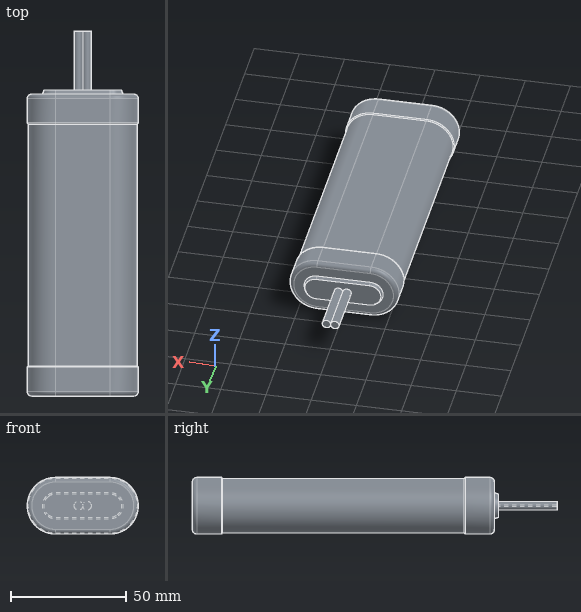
import cadquery as cq

total_length = 158.1
cap_width = 48.2
cap_height = 24.7
straight_width = cap_width - cap_height

cap_length = 13.1
cap_fillet = 2.0
rim_chamfer = 0.5

body_inset = 0.5
body_height = cap_height - 2 * body_inset

entry_height = 11.4
entry_thickness = 1.7
entry_taper = 20.0

cable_length = 25.5
core_radius = 1.9
core_offset = 1.87

entry_end = total_length - cable_length
back_cap_end = entry_end - entry_thickness


def rounded_bar(height, start, end, taper=0):
    """Bar along Y with half-round sides and the shared flat stretch."""
    return (
        cq.Workplane("XZ", origin=(0, start, 0))
        .slot2D(straight_width + height, height)
        .extrude(start - end, taper=taper)
    )


def front_cap():
    cap = rounded_bar(cap_height, 0, cap_length)
    return cap.faces("<Y").edges().fillet(cap_fillet).faces(">Y").edges().chamfer(rim_chamfer)


def back_cap():
    return front_cap().mirror("XZ").translate((0, back_cap_end, 0))


def cable_entry():
    """Low plinth whose side wall narrows away from the back cap."""
    return rounded_bar(entry_height, back_cap_end, entry_end, entry_taper)


def cable():
    """Two merged round cores side by side, meeting in a groove above and below."""
    left_core, right_core = [
        cq.Workplane("XZ", origin=(x, entry_end, 0)).circle(core_radius).extrude(-cable_length)
        for x in (-core_offset, core_offset)
    ]
    return left_core.union(right_core)


body = rounded_bar(body_height, cap_length, back_cap_end - cap_length)
result = body.union(front_cap()).union(back_cap()).union(cable_entry()).union(cable())